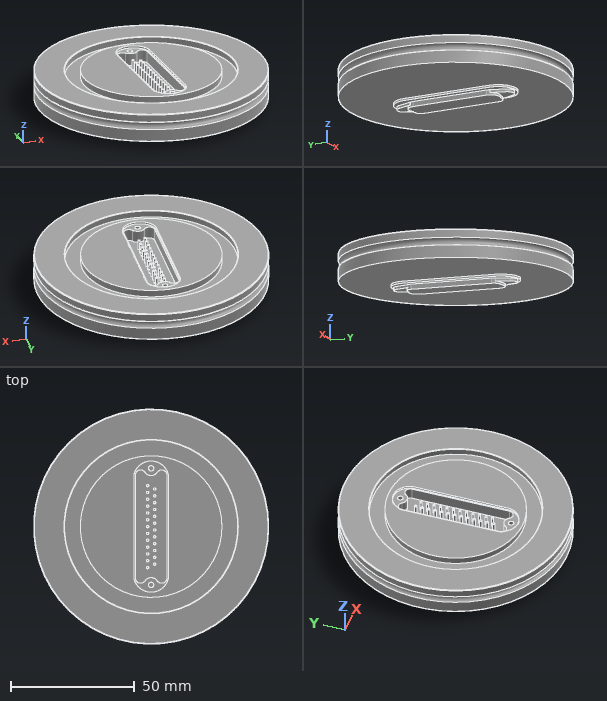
import cadquery as cq
import math

DISC_DIAMETER = 95.0
DISC_HEIGHT = 11.8
RIM_CHAMFER = 0.25

GROOVE_RADIUS = 1.55
GROOVE_CENTRE_Z = 6.75

RECESS_OUTER_DIAMETER = 70.0
RECESS_INNER_DIAMETER = 57.2
RECESS_DEPTH = 3.0
RECESS_CHAMFER = 0.2

SCREW_Y = 23.55
SCREW_HOLE_DIAMETER = 2.16
BOSS_RADIUS = 2.95

WINDOW_WIDTH = 14.0
WINDOW_LENGTH = 53.0
WINDOW_DEPTH = 0.9
WINDOW_END_RADIUS = 7.15

POCKET_HALF_WIDTH = 6.4
POCKET_DEPTH = 6.0
LOBE_RADIUS = 2.15

PIN_DIAMETER = 0.94
PIN_HEIGHT = 4.0
PIN_PITCH = 2.76
PIN_ROW_SPACING = 2.84
LONG_ROW_COUNT = 13

PLATE_WIDTH = 16.0
PLATE_LENGTH = 54.72
PLATE_DROP = 0.85
LUG_DROP = 2.05
SHELL_DROP = 2.99
LUG_FLARE_ANGLE = 18.3
LUG_ROOT_Y = 18.2
SHELL_HALF_WIDTH = 5.15
SHELL_HALF_LENGTH = 20.55
SHELL_END_ANGLE = 10.0
SHELL_WIDE_CORNER_RADIUS = 3.85
SHELL_NARROW_CORNER_RADIUS = 2.6

WINDOW_FLOOR_Z = DISC_HEIGHT - WINDOW_DEPTH
POCKET_FLOOR_Z = DISC_HEIGHT - POCKET_DEPTH


def make_disc():
    """Disc with a chamfered top rim, rim groove and ring-shaped recess."""
    disc = cq.Workplane("XY").circle(DISC_DIAMETER / 2).extrude(DISC_HEIGHT)
    disc = disc.faces(">Z").edges().chamfer(RIM_CHAMFER)

    groove = (
        cq.Workplane("XZ")
        .center(DISC_DIAMETER / 2, GROOVE_CENTRE_Z)
        .circle(GROOVE_RADIUS)
        .revolve(360, (-DISC_DIAMETER / 2, 0), (-DISC_DIAMETER / 2, 1))
    )
    recess = (
        cq.Workplane("XY", origin=(0, 0, DISC_HEIGHT))
        .circle(RECESS_OUTER_DIAMETER / 2)
        .circle(RECESS_INNER_DIAMETER / 2)
        .extrude(-RECESS_DEPTH)
    )
    recess_countersink = (
        cq.Workplane("XY", origin=(0, 0, DISC_HEIGHT))
        .circle(RECESS_OUTER_DIAMETER / 2 + RECESS_CHAMFER)
        .workplane(offset=-RECESS_CHAMFER)
        .circle(RECESS_OUTER_DIAMETER / 2)
        .loft(ruled=True)
        .cut(cq.Workplane("XY").circle(RECESS_INNER_DIAMETER / 2).extrude(DISC_HEIGHT))
    )
    return disc.cut(groove).cut(recess).cut(recess_countersink)


def make_window():
    """Shallow opening along Y whose two ends are arcs meeting the sides at a slight corner."""
    half_width = WINDOW_WIDTH / 2
    tip_y = WINDOW_LENGTH / 2
    shoulder_y = tip_y - WINDOW_END_RADIUS + math.sqrt(WINDOW_END_RADIUS**2 - half_width**2)
    return (
        cq.Workplane("XY", origin=(0, 0, WINDOW_FLOOR_Z))
        .moveTo(-half_width, -shoulder_y)
        .lineTo(-half_width, shoulder_y)
        .threePointArc((0, tip_y), (half_width, shoulder_y))
        .lineTo(half_width, -shoulder_y)
        .threePointArc((0, -tip_y), (-half_width, -shoulder_y))
        .close()
        .extrude(WINDOW_DEPTH)
    )


def make_pin_pocket():
    """Pocket with two lobes at each end, flowing tangentially around the screw boss."""
    lobe_x = POCKET_HALF_WIDTH - LOBE_RADIUS
    centre_distance = BOSS_RADIUS + LOBE_RADIUS
    lobe_y = SCREW_Y - math.sqrt(centre_distance**2 - lobe_x**2)
    touch_x = lobe_x * BOSS_RADIUS / centre_distance
    touch_y = SCREW_Y + (lobe_y - SCREW_Y) * BOSS_RADIUS / centre_distance
    lobe_top_y = lobe_y + LOBE_RADIUS
    boss_tip_y = SCREW_Y - BOSS_RADIUS
    return (
        cq.Workplane("XY", origin=(0, 0, POCKET_FLOOR_Z))
        .moveTo(-POCKET_HALF_WIDTH, -lobe_y)
        .lineTo(-POCKET_HALF_WIDTH, lobe_y)
        .threePointArc((-lobe_x, lobe_top_y), (-touch_x, touch_y))
        .threePointArc((0, boss_tip_y), (touch_x, touch_y))
        .threePointArc((lobe_x, lobe_top_y), (POCKET_HALF_WIDTH, lobe_y))
        .lineTo(POCKET_HALF_WIDTH, -lobe_y)
        .threePointArc((lobe_x, -lobe_top_y), (touch_x, -touch_y))
        .threePointArc((0, -boss_tip_y), (-touch_x, -touch_y))
        .threePointArc((-lobe_x, -lobe_top_y), (-POCKET_HALF_WIDTH, -lobe_y))
        .close()
        .extrude(WINDOW_FLOOR_Z - POCKET_FLOOR_Z)
    )


def make_pins():
    """Two staggered pin rows; the row on the -X side has one pin more."""
    row_offset = PIN_ROW_SPACING / 2
    centres = []
    for row_x, count in ((-row_offset, LONG_ROW_COUNT), (row_offset, LONG_ROW_COUNT - 1)):
        first_y = -(count - 1) * PIN_PITCH / 2
        for index in range(count):
            centres.append((row_x, first_y + index * PIN_PITCH))
    return (
        cq.Workplane("XY", origin=(0, 0, POCKET_FLOOR_Z))
        .pushPoints(centres)
        .circle(PIN_DIAMETER / 2)
        .extrude(PIN_HEIGHT)
    )


def make_plate():
    """Mounting plate under the disc with full round ends."""
    return (
        cq.Workplane("XY", origin=(0, 0, -PLATE_DROP))
        .slot2D(PLATE_LENGTH, PLATE_WIDTH, 90)
        .extrude(PLATE_DROP)
    )


def make_lugs():
    """Screw lugs at both ends: round noses whose flanks flare toward the middle."""
    flare = math.radians(LUG_FLARE_ANGLE)
    touch_x = BOSS_RADIUS * math.cos(flare)
    touch_y = SCREW_Y + BOSS_RADIUS * math.sin(flare)
    root_x = touch_x + (touch_y - LUG_ROOT_Y) * math.tan(flare)
    lug = (
        cq.Workplane("XY", origin=(0, 0, -LUG_DROP))
        .moveTo(-root_x, LUG_ROOT_Y)
        .lineTo(-touch_x, touch_y)
        .threePointArc((0, SCREW_Y + BOSS_RADIUS), (touch_x, touch_y))
        .lineTo(root_x, LUG_ROOT_Y)
        .lineTo(root_x, 0)
        .lineTo(-root_x, 0)
        .close()
        .extrude(LUG_DROP)
    )
    return lug.union(lug.mirror("XZ"))


def make_shell():
    """D-shaped plug shell, wider on the -X side, with rounded corners."""
    slope = math.tan(math.radians(SHELL_END_ANGLE))
    arc_x = SHELL_WIDE_CORNER_RADIUS - SHELL_HALF_WIDTH
    arc_y = SHELL_HALF_LENGTH - SHELL_WIDE_CORNER_RADIUS
    end_y_at_arc = arc_y + SHELL_WIDE_CORNER_RADIUS / math.cos(math.radians(SHELL_END_ANGLE))
    wide_y = end_y_at_arc + (arc_x + SHELL_HALF_WIDTH) * slope
    narrow_y = wide_y - 2 * SHELL_HALF_WIDTH * slope
    shell = (
        cq.Workplane("XY", origin=(0, 0, -SHELL_DROP))
        .moveTo(-SHELL_HALF_WIDTH, -wide_y)
        .lineTo(-SHELL_HALF_WIDTH, wide_y)
        .lineTo(SHELL_HALF_WIDTH, narrow_y)
        .lineTo(SHELL_HALF_WIDTH, -narrow_y)
        .close()
        .extrude(SHELL_DROP)
    )
    shell = shell.edges("|Z and <X").fillet(SHELL_WIDE_CORNER_RADIUS)
    return shell.edges("|Z and >X").fillet(SHELL_NARROW_CORNER_RADIUS)


def make_screw_holes():
    """Blind holes in the window floor, as deep as the pin pocket."""
    return (
        cq.Workplane("XY", origin=(0, 0, POCKET_FLOOR_Z))
        .pushPoints([(0, SCREW_Y), (0, -SCREW_Y)])
        .circle(SCREW_HOLE_DIAMETER / 2)
        .extrude(WINDOW_FLOOR_Z - POCKET_FLOOR_Z)
    )


body = make_disc().cut(make_window()).cut(make_pin_pocket())
body = body.union(make_pins()).union(make_plate()).union(make_lugs()).union(make_shell())
result = body.cut(make_screw_holes())